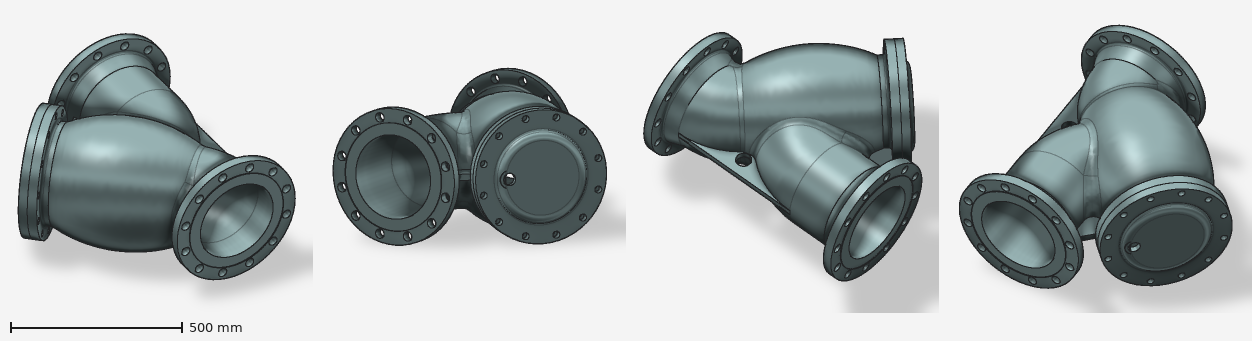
import cadquery as cq
import math

LENGTH = 730.0
WALL = 15.0
PIPE_R = 140.0
BORE_R = PIPE_R - WALL
STRAIGHT_END = 282.0
FLANGE_R = 405.0 / 2
FLANGE_T = 29.0
FACE_R = 160.5
FACE_T = 3.0
NECK_R = 155.5
NECK_ROOT = 7.0

BOLT_COUNT = 12
FIRST_BOLT = 180.0 / BOLT_COUNT
LINE_BOLT_CIRCLE_R = 179.0
LINE_BOLT_R = 14.0
COVER_BOLT_CIRCLE_R = 180.0
COVER_BOLT_R = 10.0

INLET_BEND_START = -149.0
INLET_BEND_R = 160.5
INLET_BEND_ANGLE = 80.0
OUTLET_BEND_R = 141.0

BRANCH_ANGLE = 45.0
OUTLET_BEND_TANGENT = OUTLET_BEND_R * math.tan(math.radians(BRANCH_ANGLE / 2))
BRANCH_X = STRAIGHT_END - OUTLET_BEND_TANGENT
CHAMBER_START = 14.5
CHAMBER_START_R = 122.0
CHAMBER_MIDDLE = 266.5
CHAMBER_R = 198.5
BLEND_R = 33.0
INNER_BLEND_R = 14.5
MOUTH_R = 155.0
MOUTH_START = 452.5
MOUTH_ROOT = 8.0
SEAT_BACK = 477.0
SEAT_T = 28.5
COVER_FLANGE_R = 199.0
JOINT = SEAT_BACK + SEAT_T

COVER_T = 27.0
DOME_R = 143.0
DOME_ROOT_R = 134.0
DOME_ROOT_H = 4.5
DOME_TOP_R = 111.0
DOME_H = 15.0
DRAIN_OFFSET = 100.0
DRAIN_R = 18.0
DRAIN_PAD_R = 28.0
DRAIN_DEPTH = 18.0

WEB_T = 19.0
LIFT_HOLE_X = 74.5
LIFT_HOLE_Y = 88.0
LIFT_HOLE_R = 23.0

branch_plane = cq.Plane(
    origin=(BRANCH_X, 0, 0),
    xDir=(-1, 1, 0),
    normal=(-1, -1, 0),
)


def on_branch(height):
    """Work plane across the branch axis; local X points to the inlet side."""
    return cq.Workplane(branch_plane).workplane(offset=height)


def turned_on_branch(profile):
    """Revolve a profile drawn as (radius, distance along the branch axis)."""
    plane = cq.Plane(origin=(BRANCH_X, 0, 0), xDir=(-1, 1, 0), normal=(0, 0, 1))
    drawn = profile(cq.Workplane(plane))
    return drawn.revolve(360, (0, 0, 0), (0, 1, 0))


def bolt_holes(plane, circle_r, hole_r, depth):
    return (
        plane.polarArray(circle_r, FIRST_BOLT, 360, BOLT_COUNT)
        .circle(hole_r)
        .extrude(depth)
    )


def straight_pipe(start, end, radius):
    return cq.Workplane("YZ", origin=(start, 0, 0)).circle(radius).extrude(end - start)


def bend(start, bend_r, turn, pipe_r):
    """Pipe bend from (start, 0, 0) toward -Y, about an axis parallel to Z."""
    return (
        cq.Workplane("YZ", origin=(start, 0, 0))
        .circle(pipe_r)
        .revolve(turn, (-bend_r, 7, 0), (-bend_r, 0, 0))
    )


def inlet_bend(pipe_r):
    return bend(INLET_BEND_START, INLET_BEND_R, INLET_BEND_ANGLE, pipe_r)


def outlet_bend(pipe_r):
    return bend(-STRAIGHT_END, OUTLET_BEND_R, BRANCH_ANGLE, pipe_r).mirror("YZ")


def line_flange():
    """Inlet flange with its raised face and tapered neck, turned about X."""
    face = -LENGTH / 2
    flange_front = face + FACE_T
    flange_back = flange_front + FLANGE_T
    neck_start = flange_back + NECK_ROOT
    turned = (
        cq.Workplane("XY")
        .moveTo(face, 0)
        .lineTo(face, FACE_R)
        .lineTo(flange_front, FACE_R)
        .lineTo(flange_front, FLANGE_R)
        .lineTo(flange_back, FLANGE_R)
        .lineTo(flange_back, NECK_R + NECK_ROOT)
        .radiusArc((neck_start, NECK_R), -NECK_ROOT)
        .lineTo(-STRAIGHT_END, PIPE_R)
        .lineTo(-STRAIGHT_END, 0)
        .close()
        .revolve(360, (0, 0, 0), (1, 0, 0))
    )
    plane = cq.Workplane("YZ", origin=(face, 0, 0))
    return turned.cut(bolt_holes(plane, LINE_BOLT_CIRCLE_R, LINE_BOLT_R, FACE_T + FLANGE_T))


def chamber_body():
    def profile(sketch):
        return (
            sketch.moveTo(0, CHAMBER_START)
            .lineTo(CHAMBER_START_R, CHAMBER_START)
            .threePointArc((CHAMBER_R, CHAMBER_MIDDLE), (MOUTH_R, MOUTH_START))
            .lineTo(MOUTH_R, SEAT_BACK - MOUTH_ROOT)
            .radiusArc((MOUTH_R + MOUTH_ROOT, SEAT_BACK), MOUTH_ROOT)
            .lineTo(COVER_FLANGE_R, SEAT_BACK)
            .lineTo(COVER_FLANGE_R, JOINT)
            .lineTo(0, JOINT)
            .close()
        )

    return turned_on_branch(profile)


def chamber_cavity():
    mouth_bore_r = MOUTH_R - WALL

    def profile(sketch):
        return (
            sketch.moveTo(0, CHAMBER_START)
            .lineTo(CHAMBER_START_R - WALL, CHAMBER_START)
            .threePointArc((CHAMBER_R - WALL, CHAMBER_MIDDLE), (mouth_bore_r, MOUTH_START))
            .lineTo(mouth_bore_r, JOINT)
            .lineTo(0, JOINT)
            .close()
        )

    return turned_on_branch(profile)


def web(points):
    return (
        cq.Workplane("XY", origin=(0, 0, -WEB_T / 2))
        .polyline(points)
        .close()
        .extrude(WEB_T)
    )


def lifting_web():
    """Web that closes the valley between the two bends, with the lifting hole."""
    plate = web([
        (INLET_BEND_START, PIPE_R),
        (STRAIGHT_END, PIPE_R),
        (STRAIGHT_END, 0),
        (INLET_BEND_START, 0),
    ])
    hole = (
        cq.Workplane("XY", origin=(LIFT_HOLE_X, LIFT_HOLE_Y, -WEB_T / 2))
        .circle(LIFT_HOLE_R)
        .extrude(WEB_T)
    )
    return plate.cut(hole)


def crotch_web():
    """Web between the inlet pipe and the cover flange, flush with the back of the flange."""
    edge_sum = BRANCH_X - SEAT_BACK * math.sqrt(2)
    neck_x = -304.5
    seat_x = -212.0
    return web([
        (neck_x, edge_sum - neck_x),
        (seat_x, edge_sum - seat_x),
        (INLET_BEND_START, -INLET_BEND_R),
        (INLET_BEND_START, 0),
        (neck_x, 0),
    ])


def housing_skin():
    """Outer shape of the pipes, flanges and chamber, with rounded junctions."""
    inlet_flange = line_flange()
    skin = straight_pipe(-STRAIGHT_END, INLET_BEND_START, PIPE_R)
    skin = skin.union(inlet_bend(PIPE_R))
    skin = skin.union(outlet_bend(PIPE_R))
    skin = skin.union(inlet_flange)
    skin = skin.union(inlet_flange.mirror("YZ"))
    skin = skin.union(chamber_body())
    return skin.edges("%BSPLINE").fillet(BLEND_R)


def flow_passage():
    """Space inside the housing, one wall thickness inside the skin."""
    passage = straight_pipe(-LENGTH / 2, INLET_BEND_START, BORE_R)
    passage = passage.union(inlet_bend(BORE_R))
    passage = passage.union(outlet_bend(BORE_R))
    passage = passage.union(straight_pipe(STRAIGHT_END, LENGTH / 2, BORE_R))
    passage = passage.union(chamber_cavity())
    return passage.edges("%BSPLINE").fillet(INNER_BLEND_R)


def make_housing():
    housing = housing_skin().union(lifting_web()).union(crotch_web())
    housing = housing.cut(flow_passage())
    holes = bolt_holes(on_branch(SEAT_BACK), COVER_BOLT_CIRCLE_R, COVER_BOLT_R, SEAT_T)
    return housing.cut(holes)


def make_cover():
    face = JOINT + COVER_T
    dome_top = face + DOME_H

    def profile(sketch):
        return (
            sketch.moveTo(0, JOINT)
            .lineTo(COVER_FLANGE_R, JOINT)
            .lineTo(COVER_FLANGE_R, face)
            .lineTo(DOME_R, face)
            .tangentArcPoint((DOME_ROOT_R, face + DOME_ROOT_H), relative=False)
            .tangentArcPoint((DOME_TOP_R, dome_top), relative=False)
            .lineTo(0, dome_top)
            .close()
        )

    cover = turned_on_branch(profile)
    pad = on_branch(JOINT).center(DRAIN_OFFSET, 0).circle(DRAIN_PAD_R).extrude(dome_top - JOINT)
    cover = cover.union(pad)
    recess = on_branch(JOINT).circle(MOUTH_R - WALL).extrude(dome_top - DRAIN_DEPTH - JOINT)
    cover = cover.cut(recess)
    drain = on_branch(JOINT).center(DRAIN_OFFSET, 0).circle(DRAIN_R).extrude(dome_top - JOINT)
    cover = cover.cut(drain)
    return cover.cut(bolt_holes(on_branch(JOINT), COVER_BOLT_CIRCLE_R, COVER_BOLT_R, COVER_T))


housing = make_housing()
cover = make_cover()
result = cq.Compound.makeCompound([housing.val(), cover.val()])